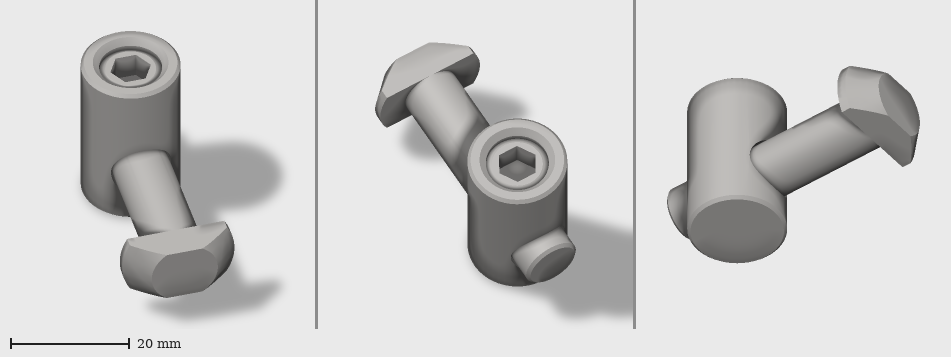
import cadquery as cq
import math

OVERALL_LENGTH = 45.7

SHANK_DIAMETER = 9.8
SHANK_CHAMFER = 0.55
HEAD_DIAMETER = 19.6
HEAD_THICKNESS = 5.7
HEAD_RIM_THICKNESS = 1.7
HEAD_START_X = OVERALL_LENGTH - HEAD_THICKNESS

BARREL_DIAMETER = 16.85
BARREL_HEIGHT = 28.0
BARREL_X = 11.5
BARREL_BOTTOM_Z = -10.0
BARREL_TOP_Z = BARREL_BOTTOM_Z + BARREL_HEIGHT
BARREL_CHAMFER = 0.55
CROSS_HOLE_DIAMETER = 10.5

SCREW_DIAMETER = 10.65
COUNTERSINK_DIAMETER = 12.75
SCREW_FACE_DIAMETER = 8.6
SCREW_FACE_DEPTH = 1.35
SCREW_CHAMFER_HEIGHT = 0.6
HEX_ACROSS_FLATS = 6.12
HEX_DEPTH = 4.55

SCREW_POINT_Z = 1.5
SCREW_POINT_HEIGHT = CROSS_HOLE_DIAMETER / 2 - SCREW_POINT_Z


def make_screw_point():
    """Downward cone from the crown of the cross hole into the bolt."""
    return cq.Workplane("XY").add(
        cq.Solid.makeCone(
            0,
            SCREW_POINT_HEIGHT,
            SCREW_POINT_HEIGHT,
            pnt=cq.Vector(BARREL_X, 0, SCREW_POINT_Z),
        )
    )


def make_bolt():
    """Round shank with a chamfered tip, a screw dimple and a coned head cut to its width."""
    shank = (
        cq.Workplane("YZ")
        .circle(SHANK_DIAMETER / 2)
        .extrude(HEAD_START_X)
        .faces("<X")
        .chamfer(SHANK_CHAMFER)
    )
    head = (
        cq.Workplane("YZ", origin=(HEAD_START_X, 0, 0))
        .circle(HEAD_DIAMETER / 2)
        .extrude(HEAD_THICKNESS)
        .faces(">X")
        .chamfer(HEAD_THICKNESS - HEAD_RIM_THICKNESS)
    )
    flats = cq.Workplane("XY").box(2 * OVERALL_LENGTH, HEAD_DIAMETER, SHANK_DIAMETER)
    return shank.union(head.intersect(flats)).cut(make_screw_point())


def make_screw_recess():
    """Ring-shaped hollow above the screw: countersink, short bore and screw chamfer."""
    countersink_depth = (COUNTERSINK_DIAMETER - SCREW_DIAMETER) / 2
    return (
        cq.Workplane("XZ", origin=(BARREL_X, 0, BARREL_TOP_Z))
        .lineTo(COUNTERSINK_DIAMETER / 2, 0)
        .lineTo(SCREW_DIAMETER / 2, -countersink_depth)
        .lineTo(SCREW_DIAMETER / 2, -SCREW_FACE_DEPTH - SCREW_CHAMFER_HEIGHT)
        .lineTo(SCREW_FACE_DIAMETER / 2, -SCREW_FACE_DEPTH)
        .lineTo(0, -SCREW_FACE_DEPTH)
        .close()
        .revolve(360, (0, 0, 0), (0, 1, 0))
    )


def make_hex_socket():
    """Hexagonal key socket with two corners pointing along Y."""
    across_corners = HEX_ACROSS_FLATS / math.cos(math.radians(30))
    return (
        cq.Workplane("XY", origin=(BARREL_X, 0, BARREL_TOP_Z - SCREW_FACE_DEPTH))
        .transformed(rotate=(0, 0, 90))
        .polygon(6, across_corners)
        .extrude(-HEX_DEPTH)
    )


def make_barrel():
    """Chamfered cylinder with a clearance hole for the bolt and a pointed screw in its top."""
    body = (
        cq.Workplane("XY", origin=(BARREL_X, 0, BARREL_BOTTOM_Z))
        .circle(BARREL_DIAMETER / 2)
        .extrude(BARREL_HEIGHT)
        .faces("<Z or >Z")
        .chamfer(BARREL_CHAMFER)
    )
    cross_hole = (
        cq.Workplane("YZ", origin=(BARREL_X, 0, 0))
        .circle(CROSS_HOLE_DIAMETER / 2)
        .extrude(BARREL_DIAMETER, both=True)
    )
    barrel_with_screw = body.cut(cross_hole).union(make_screw_point())
    return barrel_with_screw.cut(make_screw_recess()).cut(make_hex_socket())


bolt = make_bolt()
barrel = make_barrel()
result = cq.Compound.makeCompound([bolt.val(), barrel.val()])